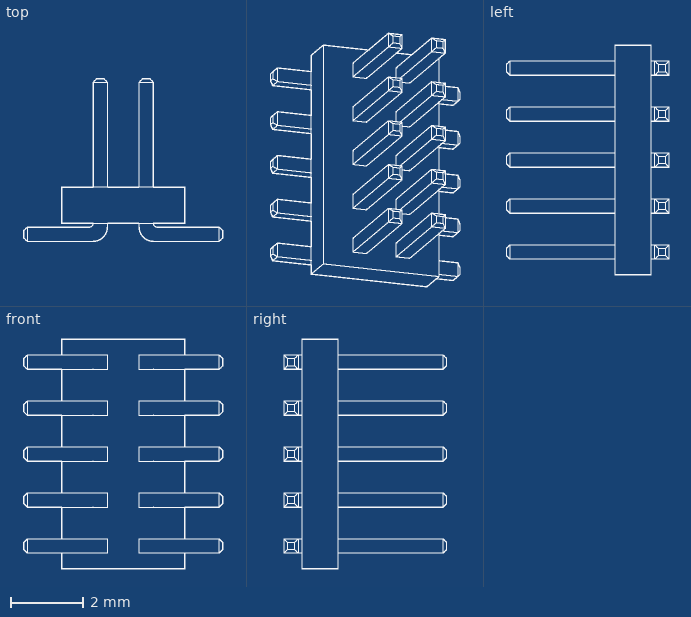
import cadquery as cq

rows = 5
pitch = 1.27

body_width = 3.4
body_thickness = 1.0
body_height = rows * pitch
standoff = 0.5

pin_size = 0.4
pin_length = 4.5
foot_span = 5.5
tip_chamfer = pin_size / 4
bend_outer_radius = pin_size
bend_inner_radius = standoff - pin_size


def make_body():
    """Plain insulator block standing off the soldering plane."""
    center_y = standoff + body_thickness / 2
    return cq.Workplane("XY").box(body_width, body_thickness, body_height).translate((0, center_y, 0))


def make_pin():
    """Square L-shaped pin of the +X column, centred on Z = 0."""
    inner_x = (pitch - pin_size) / 2
    outer_x = inner_x + pin_size
    foot_x = foot_span / 2
    pin = (
        cq.Workplane("XY")
        .moveTo(inner_x, pin_length)
        .lineTo(inner_x, 0)
        .lineTo(foot_x, 0)
        .lineTo(foot_x, pin_size)
        .lineTo(outer_x, pin_size)
        .lineTo(outer_x, pin_length)
        .close()
        .extrude(pin_size / 2, both=True)
    )
    pin = pin.edges("|Z and <X and <Y").fillet(bend_outer_radius)
    inner_corner = cq.selectors.NearestToPointSelector((outer_x, pin_size, 0))
    pin = pin.edges("|Z").edges(inner_corner).fillet(bend_inner_radius)
    return pin.faces(">X or >Y").chamfer(tip_chamfer)


def make_header():
    """Body with a mirrored pair of pins in every row."""
    header = make_body()
    right_pin = make_pin()
    left_pin = right_pin.mirror("YZ")
    for row in range(rows):
        row_z = (row - (rows - 1) / 2) * pitch
        for pin in (right_pin, left_pin):
            header = header.union(pin.translate((0, 0, row_z)))
    return header


result = make_header()